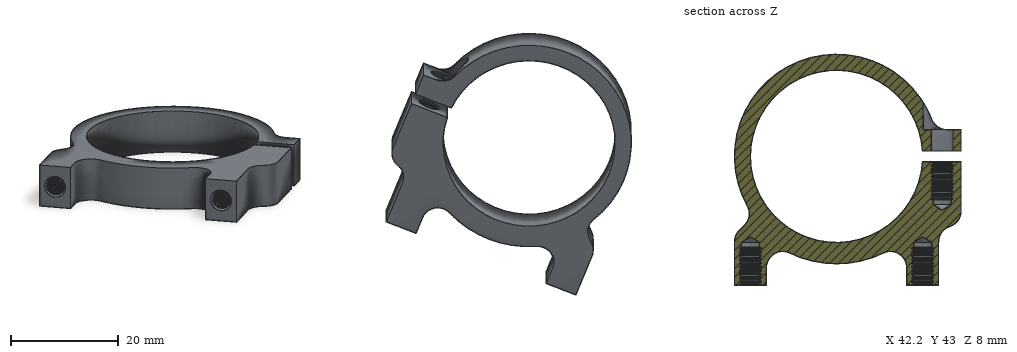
import cadquery as cq
import math

thickness = 8.0
bore_radius = 16.0
ring_radius = 19.0
belly_radius = 20.0
blend_radius = 3.0

clamp_end_x = 23.18
slit_width = 1.98
lug_top_y = 5.0

foot_bottom_y = -24.0
foot_width = 5.98
foot_outer_x = ring_radius
foot_inner_x = foot_outer_x - foot_width
shoulder_y = -15.9

screw_x = 19.65
screw_clearance_diameter = 4.0
screw_head_diameter = 7.0

thread_major_radius = 4.0 / 2
thread_minor_radius = 3.3 / 2
thread_pitch = 0.7
thread_groove_share = 0.8
thread_root_share = 0.2
hole_depth = 8.0
drill_point_angle = 118.0


def toward(start, end, distance):
    """Point at a distance from start on the line to end."""
    scale = distance / math.dist(start, end)
    return (start[0] + (end[0] - start[0]) * scale, start[1] + (end[1] - start[1]) * scale)


def arc_middle(center, start, end):
    """Middle point of the short arc from start to end."""
    chord_middle = ((start[0] + end[0]) / 2, (start[1] + end[1]) / 2)
    return toward(center, chord_middle, math.dist(center, start))


def left_waist_center():
    """Center of the blend that touches the ring and the 45 degree line off the left shoulder."""
    half_root_two = math.sqrt(0.5)
    base_x = left_shoulder_center[0] - 2 * blend_radius * half_root_two
    base_y = left_shoulder_center[1] + 2 * blend_radius * half_root_two
    along = (base_x + base_y) * half_root_two
    across_squared = base_x**2 + base_y**2 - along**2
    slide = -along - math.sqrt((ring_radius + blend_radius) ** 2 - across_squared)
    return (base_x + slide * half_root_two, base_y + slide * half_root_two)


ring_center = (0, 0)
lug_center_y = lug_top_y + blend_radius
lug_center = (math.sqrt((ring_radius + blend_radius) ** 2 - lug_center_y**2), lug_center_y)

left_shoulder_center = (-foot_outer_x + blend_radius, shoulder_y)
waist_center = left_waist_center()

foot_blend_x = foot_inner_x - blend_radius
foot_blend_y = -math.sqrt((belly_radius + blend_radius) ** 2 - foot_blend_x**2)
left_foot_center = (-foot_blend_x, foot_blend_y)
right_foot_center = (foot_blend_x, foot_blend_y)

right_shoulder_center = (foot_outer_x + blend_radius, shoulder_y)
corner_x = clamp_end_x - blend_radius
corner_rise = math.sqrt((2 * blend_radius) ** 2 - (right_shoulder_center[0] - corner_x) ** 2)
corner_center = (corner_x, shoulder_y + corner_rise)

lug_start = (lug_center[0], lug_top_y)
lug_end = toward(ring_center, lug_center, ring_radius)
waist_start = toward(ring_center, waist_center, ring_radius)
diagonal_step = blend_radius * math.sqrt(0.5)
waist_end = (waist_center[0] + diagonal_step, waist_center[1] - diagonal_step)
shoulder_start = (left_shoulder_center[0] - diagonal_step, left_shoulder_center[1] + diagonal_step)
left_shoulder = (-foot_outer_x, shoulder_y)
left_foot_start = (-foot_inner_x, foot_blend_y)
belly_start = toward(ring_center, left_foot_center, belly_radius)
belly_end = toward(ring_center, right_foot_center, belly_radius)
right_foot_end = (foot_inner_x, foot_blend_y)
right_shoulder = (foot_outer_x, shoulder_y)
corner_start = toward(corner_center, right_shoulder_center, blend_radius)
corner_end = (clamp_end_x, corner_center[1])


def make_body():
    """Clamp outline, counterclockwise from the lug, with the bore and slit removed."""
    body = (
        cq.Workplane("XY")
        .workplane(offset=-thickness / 2)
        .moveTo(clamp_end_x, lug_top_y)
        .lineTo(*lug_start)
        .threePointArc(arc_middle(lug_center, lug_start, lug_end), lug_end)
        .threePointArc((-ring_radius, 0), waist_start)
        .threePointArc(arc_middle(waist_center, waist_start, waist_end), waist_end)
        .lineTo(*shoulder_start)
        .threePointArc(arc_middle(left_shoulder_center, shoulder_start, left_shoulder), left_shoulder)
        .lineTo(-foot_outer_x, foot_bottom_y)
        .lineTo(-foot_inner_x, foot_bottom_y)
        .lineTo(*left_foot_start)
        .threePointArc(arc_middle(left_foot_center, left_foot_start, belly_start), belly_start)
        .threePointArc((0, -belly_radius), belly_end)
        .threePointArc(arc_middle(right_foot_center, belly_end, right_foot_end), right_foot_end)
        .lineTo(foot_inner_x, foot_bottom_y)
        .lineTo(foot_outer_x, foot_bottom_y)
        .lineTo(*right_shoulder)
        .threePointArc(arc_middle(right_shoulder_center, right_shoulder, corner_start), corner_start)
        .threePointArc(arc_middle(corner_center, corner_start, corner_end), corner_end)
        .close()
        .extrude(thickness)
    )
    bore = cq.Workplane("XY").circle(bore_radius).extrude(thickness, both=True)
    slit = cq.Workplane("XY").box(clamp_end_x, slit_width, thickness, centered=(False, True, True))
    return body.cut(bore).cut(slit)


def make_threaded_hole():
    """Blind hole along +Y from the origin, with ring grooves for the thread and a drill point."""
    point_height = thread_minor_radius / math.tan(math.radians(drill_point_angle / 2))
    half_mouth = thread_pitch * thread_groove_share / 2
    half_root = thread_pitch * thread_root_share / 2
    profile = cq.Workplane("XY").lineTo(thread_major_radius, 0)
    profile = profile.lineTo(thread_major_radius, half_root)
    profile = profile.lineTo(thread_minor_radius, half_mouth)
    for groove in range(1, int(hole_depth / thread_pitch)):
        groove_y = groove * thread_pitch
        profile = (
            profile.lineTo(thread_minor_radius, groove_y - half_mouth)
            .lineTo(thread_major_radius, groove_y - half_root)
            .lineTo(thread_major_radius, groove_y + half_root)
            .lineTo(thread_minor_radius, groove_y + half_mouth)
        )
    return (
        profile.lineTo(thread_minor_radius, hole_depth)
        .lineTo(0, hole_depth + point_height)
        .close()
        .revolve(360, (0, 0), (0, 1))
    )


def make_screw_passage():
    """Clearance hole through the upper lug, with room for the screw head above the lug top."""
    lug_plane = cq.Workplane("XZ", origin=(screw_x, lug_top_y, 0))
    clearance = lug_plane.circle(screw_clearance_diameter / 2).extrude(lug_top_y)
    head_room = lug_plane.circle(screw_head_diameter / 2).extrude(-ring_radius)
    return clearance.union(head_room)


result = make_body().cut(make_screw_passage())
threaded_hole = make_threaded_hole()

foot_hole_x = foot_outer_x - foot_width / 2
for hole_x in (-foot_hole_x, foot_hole_x):
    result = result.cut(threaded_hole.translate((hole_x, foot_bottom_y, 0)))

downward_hole = threaded_hole.rotate((0, 0, 0), (0, 0, 1), 180)
result = result.cut(downward_hole.translate((screw_x, -slit_width / 2, 0)))